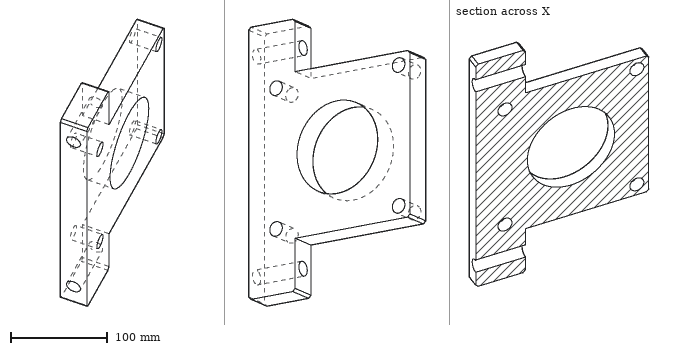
import cadquery as cq

thickness = 30.0
depth = 200.0
height = 294.0

rail_depth = 57.5
plate_height = 180.0
corner_chamfer = 3.0

bore_diameter = 100.0
bolt_diameter = 15.5
bolt_spacing = 152.0
rail_hole_spacing = 238.0

front_y = -depth / 2
back_y = depth / 2
rail_back_y = front_y + rail_depth
bore_y = back_y - plate_height / 2


def block(y_start, y_end, block_height):
    """Block spanning y_start to y_end, centred on X and Z."""
    length = y_end - y_start
    return cq.Workplane("XY").box(thickness, length, block_height).translate((0, (y_start + y_end) / 2, 0))


rail = block(front_y, rail_back_y, height).edges("|X").chamfer(corner_chamfer)
plate = block(rail_back_y, back_y, plate_height).edges("|X and >Y").chamfer(corner_chamfer)
body = rail.union(plate)

plate_face = cq.Workplane("YZ", origin=(-thickness / 2, bore_y, 0))
bore = plate_face.circle(bore_diameter / 2).extrude(thickness)
bolt_holes = (
    plate_face.rarray(bolt_spacing, bolt_spacing, 2, 2)
    .circle(bolt_diameter / 2)
    .extrude(thickness)
)

rail_holes = (
    cq.Workplane("XZ", origin=(0, rail_back_y, 0))
    .pushPoints([(0, -rail_hole_spacing / 2), (0, rail_hole_spacing / 2)])
    .circle(bolt_diameter / 2)
    .extrude(rail_depth)
)

result = body.cut(bore).cut(bolt_holes).cut(rail_holes)